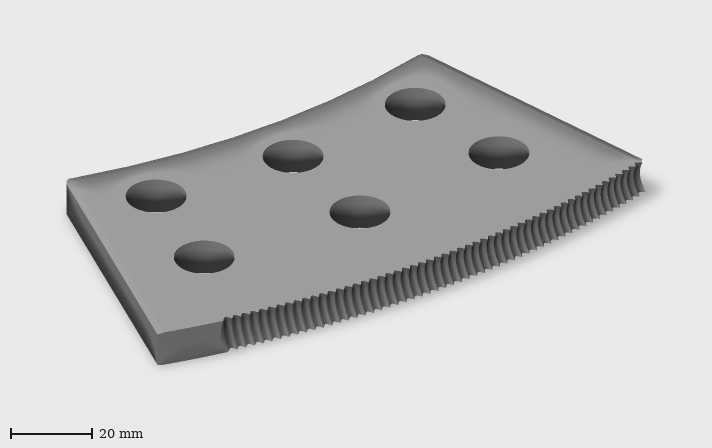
import cadquery as cq
import math

outer_radius = 278.5
inner_radius = 203.8
sector_angle = 30.0
thickness = 9.5
corner_radius = 2.9

end_bevel_width = 1.7
end_bevel_height = 0.3
arc_bevel_width = 0.8
arc_bevel_height = 0.5

hole_diameter = 15.0
hole_row_radii = (219.7, 250.0)
hole_angles = (5.0, 15.0, 25.0)

tooth_pitch_angle = 0.484
first_groove_angle = 3.94
groove_count = 55
root_radius = 275.8
worm_radius = 10.0
flank_angle = 50.0
worm_tilt = 9.0
root_flat_ratio = 0.2

cutter_arc = 80.0

cut_margin = 1.4


def at_angle(radius, angle):
    """Point in the XY plane at a polar radius and angle in degrees."""
    return (radius * math.cos(math.radians(angle)), radius * math.sin(math.radians(angle)))


def make_sector():
    half_angle = sector_angle / 2
    sector = (
        cq.Workplane("XY")
        .moveTo(*at_angle(inner_radius, 0))
        .lineTo(*at_angle(outer_radius, 0))
        .threePointArc(at_angle(outer_radius, half_angle), at_angle(outer_radius, sector_angle))
        .lineTo(*at_angle(inner_radius, sector_angle))
        .threePointArc(at_angle(inner_radius, half_angle), at_angle(inner_radius, 0))
        .close()
        .extrude(thickness)
    )
    inner_corners = cq.selectors.BoxSelector(
        (0, -cut_margin, 0),
        (inner_radius + cut_margin, outer_radius, thickness),
    )
    return sector.edges("|Z").edges(inner_corners).fillet(corner_radius)


def mirror_about_mid_height(solid):
    middle = (0, 0, thickness / 2)
    return solid.mirror("XY", middle)


def make_end_bevel():
    """Wedge removed from the top edge of the end lying along +X."""
    wedge = (
        cq.Workplane("YZ")
        .moveTo(0, thickness - end_bevel_height)
        .lineTo(end_bevel_width, thickness)
        .lineTo(end_bevel_width, thickness + cut_margin)
        .lineTo(-cut_margin, thickness + cut_margin)
        .lineTo(-cut_margin, thickness - end_bevel_height)
        .close()
        .extrude(outer_radius + cut_margin)
    )
    return wedge


def make_arc_bevel():
    """Conical ring removed from the top edge of the inner arc."""
    return (
        cq.Workplane("XZ")
        .moveTo(inner_radius - cut_margin, thickness - arc_bevel_height)
        .lineTo(inner_radius, thickness - arc_bevel_height)
        .lineTo(inner_radius + arc_bevel_width, thickness)
        .lineTo(inner_radius + arc_bevel_width, thickness + cut_margin)
        .lineTo(inner_radius - cut_margin, thickness + cut_margin)
        .close()
        .revolve(360, (0, 0, 0), (0, 1, 0))
    )


def cut_bevels(body):
    first_end = make_end_bevel()
    far_end = first_end.mirror("XZ").rotate((0, 0, 0), (0, 0, 1), sector_angle)
    for bevel in (first_end, far_end, make_arc_bevel()):
        body = body.cut(bevel).cut(mirror_about_mid_height(bevel))
    return body


def cut_holes(body):
    centres = [at_angle(radius, angle) for radius in hole_row_radii for angle in hole_angles]
    holes = cq.Workplane("XY").pushPoints(centres).circle(hole_diameter / 2).extrude(thickness)
    return body.cut(holes)


def make_groove_cutter():
    """Arc of a V-shaped ring, turned about a tilted tangential axis beside the outer edge."""
    axis_radius = root_radius + worm_radius
    pitch = outer_radius * math.radians(tooth_pitch_angle)
    half_flat = pitch * root_flat_ratio / 2
    rim_radius = outer_radius + cut_margin
    half_width = half_flat + (rim_radius - root_radius) / math.tan(math.radians(flank_angle))
    ring = (
        cq.Workplane("XY")
        .moveTo(root_radius, -half_flat)
        .lineTo(rim_radius, -half_width)
        .lineTo(rim_radius, half_width)
        .lineTo(root_radius, half_flat)
        .close()
        .revolve(cutter_arc, (axis_radius, 0, 0), (axis_radius, 1, 0))
        .rotate((axis_radius, 0, 0), (axis_radius, 1, 0), -cutter_arc / 2)
    )
    lifted = ring.translate((0, 0, thickness / 2))
    tilt_start = (0, 0, thickness / 2)
    tilt_end = (1, 0, thickness / 2)
    return lifted.rotate(tilt_start, tilt_end, worm_tilt)


def cut_teeth(body):
    cutter = make_groove_cutter()
    for index in range(groove_count):
        angle = first_groove_angle + index * tooth_pitch_angle
        body = body.cut(cutter.rotate((0, 0, 0), (0, 0, 1), angle), clean=False)
    return body


result = cut_teeth(cut_holes(cut_bevels(make_sector())))